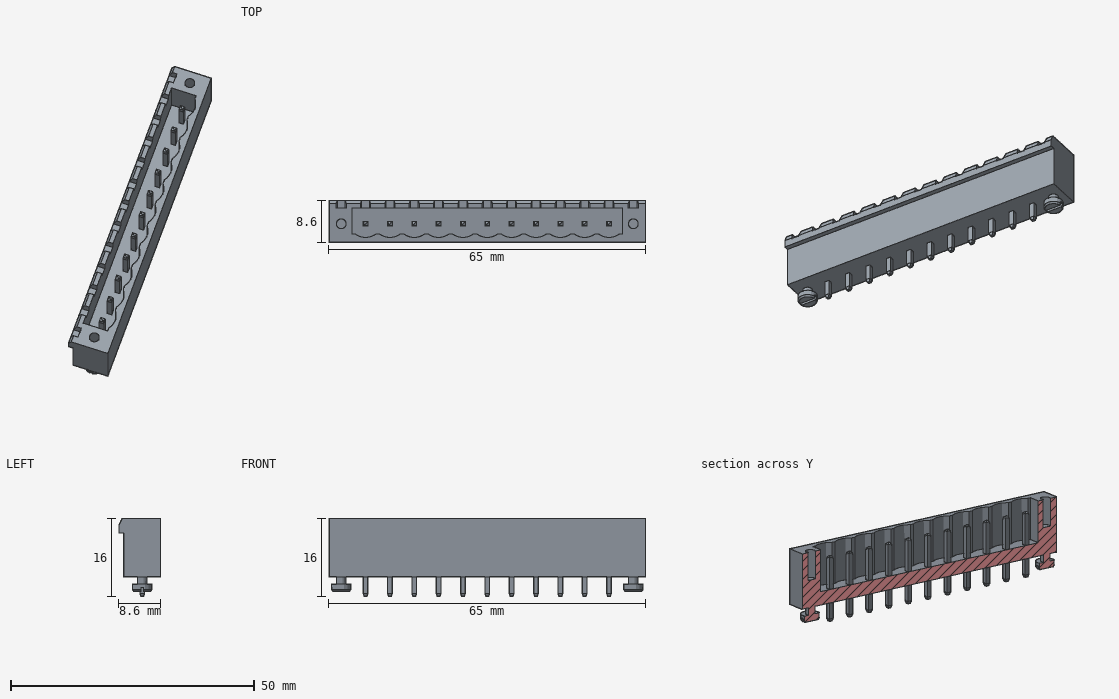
import cadquery as cq

PITCH = 5.0
CONTACT_COUNT = 11
SCREW_INSET = 2.5
CONTACT_SPAN = (CONTACT_COUNT - 1) * PITCH
SCREW_X = CONTACT_SPAN / 2 + PITCH
LENGTH = 2 * (SCREW_X + SCREW_INSET)
CONTACT_XS = [i * PITCH - CONTACT_SPAN / 2 for i in range(CONTACT_COUNT)]
SCREW_XS = [-SCREW_X, SCREW_X]
AXIS_Y = 3.8

HEIGHT = 12.0
DEPTH = 7.6
LIP_OVERHANG = 1.0
LIP_HEIGHT = 3.0
LIP_CHAMFER_DEPTH = 0.65
LIP_CHAMFER_HEIGHT = 1.4

CAVITY_LENGTH = 55.5
CAVITY_FRONT_Y = 1.7
CAVITY_BACK_Y = 7.0
CAVITY_FLOOR_Z = 3.0
SCALLOP_WIDTH = 4.2
SCALLOP_DEPTH = 0.7

NOTCH_TOP_WIDTH = 2.1
NOTCH_FLOOR_WIDTH = 1.6
NOTCH_DEPTH = 1.5

PIN_WIDTH = 1.0
PIN_TOP_Z = 10.0
PIN_BOTTOM_Z = -4.0
PIN_TIP_INSET = 0.2
PIN_TIP_HEIGHT = 0.6

SCREW_DIAMETER = 2.0
SCREW_HEAD_DIAMETER = 4.0
SCREW_HEAD_TOP_Z = -1.5
SCREW_HEAD_HEIGHT = 1.5
SCREW_HEAD_CHAMFER_HEIGHT = 0.4
SCREW_HEAD_CHAMFER_INSET = 0.25
SLOT_WIDTH = 0.6
SLOT_DEPTH = 0.8
HOLE_DEPTH = 6.0


def housing():
    """Long block with a chamfered latching lip along the top of the rear face."""
    lip_y = DEPTH + LIP_OVERHANG
    section = [
        (0, 0),
        (DEPTH, 0),
        (DEPTH, HEIGHT - LIP_HEIGHT),
        (lip_y, HEIGHT - LIP_HEIGHT),
        (lip_y, HEIGHT - LIP_CHAMFER_HEIGHT),
        (lip_y - LIP_CHAMFER_DEPTH, HEIGHT),
        (0, HEIGHT),
    ]
    return cq.Workplane("YZ").polyline(section).close().extrude(LENGTH / 2, both=True)


def cavity():
    """Plug opening whose front wall is scalloped at every contact."""
    half_length = CAVITY_LENGTH / 2
    half_scallop = SCALLOP_WIDTH / 2
    outline = cq.Workplane("XY", origin=(0, 0, CAVITY_FLOOR_Z))
    outline = outline.moveTo(-half_length, CAVITY_BACK_Y).lineTo(-half_length, CAVITY_FRONT_Y)
    for x in CONTACT_XS:
        outline = outline.lineTo(x - half_scallop, CAVITY_FRONT_Y)
        outline = outline.threePointArc(
            (x, CAVITY_FRONT_Y - SCALLOP_DEPTH),
            (x + half_scallop, CAVITY_FRONT_Y),
        )
    outline = outline.lineTo(half_length, CAVITY_FRONT_Y).lineTo(half_length, CAVITY_BACK_Y)
    return outline.close().extrude(HEIGHT - CAVITY_FLOOR_Z)


def notch(x):
    """Trapezoidal cut through the rear wall and lip, centred on x."""
    floor_z = HEIGHT - NOTCH_DEPTH
    section = [
        (x - NOTCH_TOP_WIDTH / 2, HEIGHT),
        (x - NOTCH_FLOOR_WIDTH / 2, floor_z),
        (x + NOTCH_FLOOR_WIDTH / 2, floor_z),
        (x + NOTCH_TOP_WIDTH / 2, HEIGHT),
    ]
    wall = DEPTH + LIP_OVERHANG - CAVITY_BACK_Y
    return cq.Workplane("XZ", origin=(0, CAVITY_BACK_Y, 0)).polyline(section).close().extrude(-wall)


def contact_pin(x):
    """Square pin with both ends tapered."""
    return (
        cq.Workplane("XY", origin=(x, AXIS_Y, PIN_BOTTOM_Z))
        .rect(PIN_WIDTH, PIN_WIDTH)
        .extrude(PIN_TOP_Z - PIN_BOTTOM_Z)
        .faces("<Z")
        .chamfer(PIN_TIP_HEIGHT, PIN_TIP_INSET)
        .faces(">Z")
        .chamfer(PIN_TIP_HEIGHT, PIN_TIP_INSET)
    )


def screw(x):
    """Exposed shank and slotted head hanging below the housing."""
    shank = (
        cq.Workplane("XY", origin=(x, AXIS_Y, SCREW_HEAD_TOP_Z))
        .circle(SCREW_DIAMETER / 2)
        .extrude(-SCREW_HEAD_TOP_Z)
    )
    head_bottom_z = SCREW_HEAD_TOP_Z - SCREW_HEAD_HEIGHT
    head = (
        cq.Workplane("XY", origin=(x, AXIS_Y, head_bottom_z))
        .circle(SCREW_HEAD_DIAMETER / 2)
        .extrude(SCREW_HEAD_HEIGHT)
        .faces("<Z")
        .chamfer(SCREW_HEAD_CHAMFER_HEIGHT, SCREW_HEAD_CHAMFER_INSET)
    )
    slot = (
        cq.Workplane("XY", origin=(x, AXIS_Y, head_bottom_z))
        .rect(SCREW_HEAD_DIAMETER, SLOT_WIDTH)
        .extrude(SLOT_DEPTH)
    )
    return shank.union(head.cut(slot))


def screw_hole(x):
    """Blind round hole in the top face above a fixing screw."""
    return (
        cq.Workplane("XY", origin=(x, AXIS_Y, HEIGHT))
        .circle(SCREW_DIAMETER / 2)
        .extrude(-HOLE_DEPTH)
    )


result = housing().cut(cavity())
for x in CONTACT_XS + SCREW_XS:
    result = result.cut(notch(x))
for x in CONTACT_XS:
    result = result.union(contact_pin(x))
for x in SCREW_XS:
    result = result.cut(screw_hole(x)).union(screw(x))